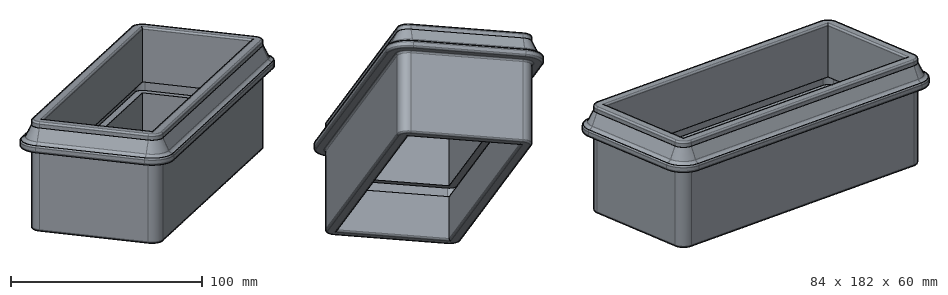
import cadquery as cq
import math

length = 182.0
width = 84.0
height = 60.0

wall = 6.0
rim_overhang = 6.0
rim_bottom = 45.0
rim_thickness = 4.0
edge_radius = 1.0

neck_height = 3.1
hollow_tangent = 1.55
crest_inset = 0.5

groove_bottom = 24.0
groove_height = 6.0
groove_depth = 4.0

rim_reach = wall + rim_overhang
rim_top = rim_bottom + rim_thickness
bore_x = width - 2 * rim_reach
bore_y = length - 2 * rim_reach
up = cq.Vector(0, 0, 1)


def wall_section(plane):
    """Cross-section of the wall; local x runs outward from the bore, local y is Z."""
    shoulder_top = height - neck_height
    crest_x = rim_reach - crest_inset
    foot_x = crest_x - hollow_tangent
    slope_angle = math.atan2(foot_x - wall, shoulder_top - rim_top)
    hollow_start = (
        foot_x - hollow_tangent * math.sin(slope_angle),
        rim_top + hollow_tangent * math.cos(slope_angle),
    )
    hollow_turn = math.pi / 2 - slope_angle
    hollow_radius = hollow_tangent / math.tan(hollow_turn / 2)
    hollow_middle = (
        crest_x - hollow_radius * math.sin(hollow_turn / 2),
        rim_top + hollow_radius * (1 - math.cos(hollow_turn / 2)),
    )
    return (
        cq.Workplane(plane)
        .moveTo(0, 0)
        .lineTo(wall - edge_radius, 0)
        .tangentArcPoint((wall, edge_radius), relative=False)
        .lineTo(wall, rim_bottom - edge_radius)
        .tangentArcPoint((wall + edge_radius, rim_bottom), relative=False)
        .lineTo(rim_reach - edge_radius, rim_bottom)
        .tangentArcPoint((rim_reach, rim_bottom + edge_radius), relative=False)
        .lineTo(rim_reach, rim_top - edge_radius)
        .tangentArcPoint((crest_x, rim_top), relative=False)
        .threePointArc(hollow_middle, hollow_start)
        .lineTo(wall, shoulder_top)
        .lineTo(wall, height - edge_radius)
        .tangentArcPoint((wall - edge_radius, height), relative=False)
        .lineTo(0, height)
        .close()
    )


def straight_wall(start, outward, run):
    """Wall along one side of the bore, starting at a bore corner."""
    plane = cq.Plane(start, outward, outward.cross(up))
    return wall_section(plane).extrude(run)


def corner_wall(corner, outward):
    """Quarter turn of the wall section, counterclockwise about a vertical bore corner."""
    plane = cq.Plane(corner, outward, outward.cross(up))
    return wall_section(plane).revolve(90, (0, 0), (0, 1))


def ring():
    """Four straight walls joined by four quarter turns."""
    corners = (
        (1, 1, cq.Vector(1, 0, 0), bore_y),
        (-1, 1, cq.Vector(0, 1, 0), bore_x),
        (-1, -1, cq.Vector(-1, 0, 0), bore_y),
        (1, -1, cq.Vector(0, -1, 0), bore_x),
    )
    body = cq.Workplane()
    for side_x, side_y, outward, run in corners:
        corner = cq.Vector(side_x * bore_x / 2, side_y * bore_y / 2, 0)
        body = body.union(straight_wall(corner, outward, run))
        body = body.union(corner_wall(corner, outward))
    return body


def round_bore_mouth(body, level):
    """Round the bore edges at the given height."""
    margin = 0.2
    mouth_edges = cq.selectors.BoxSelector(
        (-bore_x / 2 - margin, -bore_y / 2 - margin, level - margin),
        (bore_x / 2 + margin, bore_y / 2 + margin, level + margin),
        boundingbox=True,
    )
    return body.edges(mouth_edges).fillet(edge_radius)


def inner_groove():
    """Slab that cuts the groove, its corners rounded about the bore corners."""
    return (
        cq.Workplane("XY", origin=(0, 0, groove_bottom))
        .rect(bore_x + 2 * groove_depth, bore_y + 2 * groove_depth)
        .extrude(groove_height)
        .edges("|Z")
        .fillet(groove_depth)
    )


body = ring()
for mouth_level in (0, height):
    body = round_bore_mouth(body, mouth_level)
result = body.cut(inner_groove())